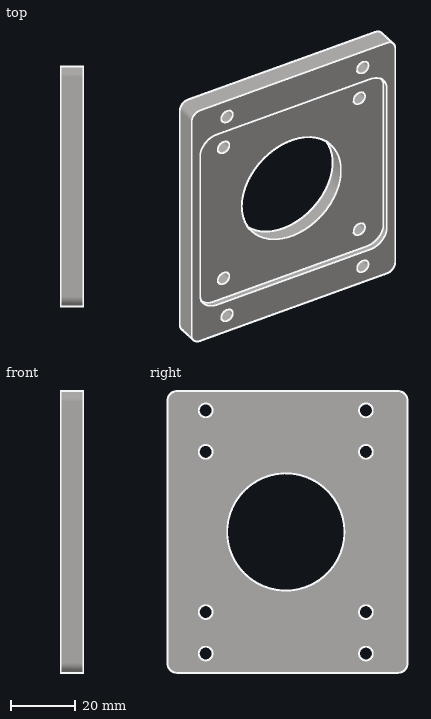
import cadquery as cq

thickness = 7.0
width = 75.0
height = 88.0
corner_radius = 3.1

recess_width = 68.8
recess_height = 65.0
recess_radius = 6.2
recess_depth = 2.0

hole_center_y = -0.5
bore_diameter = 36.5
screw_diameter = 4.2
screw_spacing = 50.0
outer_screw_spacing_z = 75.9


def rounded_block(depth, block_width, block_height, radius):
    """Block centred on the origin with its X-parallel edges rounded."""
    block = cq.Workplane("XY").box(depth, block_width, block_height)
    return block.edges("|X").fillet(radius)


def through_holes(diameter, centers):
    """Cylinders along X, long enough to cut through the plate."""
    start = cq.Workplane("YZ").workplane(offset=-thickness)
    return start.pushPoints(centers).circle(diameter / 2).extrude(2 * thickness)


plate = rounded_block(thickness, width, height, corner_radius)

recess = rounded_block(2 * recess_depth, recess_width, recess_height, recess_radius)
plate = plate.cut(recess.translate((-thickness / 2, 0, 0)))

bore = through_holes(bore_diameter, [(hole_center_y, 0)])
plate = plate.cut(bore)

screw_centers = [
    (hole_center_y + side * screw_spacing / 2, end * spacing_z / 2)
    for spacing_z in (screw_spacing, outer_screw_spacing_z)
    for side in (-1, 1)
    for end in (-1, 1)
]
result = plate.cut(through_holes(screw_diameter, screw_centers))